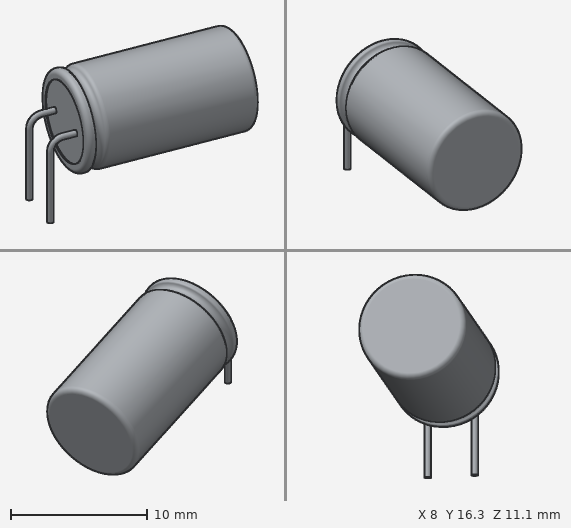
import cadquery as cq
import math

total_length = 16.25
can_diameter = 8.0
end_fillet = 0.4

groove_center = 1.1
groove_radius = 0.4
body_blend = 0.4
lip_blend = 0.16

seal_diameter = 6.4
seal_depth = 0.1

lead_diameter = 0.5
lead_spacing = 3.51
lead_reach = 2.25
lead_drop = 7.1
lead_bend = 1.0
lead_embed = 0.32

can_radius = can_diameter / 2
can_length = total_length - lead_reach
lead_axis_y = lead_diameter / 2 - lead_reach
DIAGONAL = math.sqrt(0.5)


def groove_blend(blend_radius, side):
    """Start, middle and end of the rounded groove edge; side is -1 for the lip and +1 for the body.

    The blend is tangent to the can surface at its start and to the groove bead at its end.
    """
    center_distance = groove_radius + blend_radius
    offset = math.sqrt(center_distance**2 - blend_radius**2)
    center_r = can_radius - blend_radius
    center_y = groove_center + side * offset
    end_angle = math.atan2(blend_radius, -side * offset)
    middle_angle = (end_angle + math.pi / 2) / 2

    def point(angle):
        return (center_r + blend_radius * math.sin(angle), center_y + blend_radius * math.cos(angle))

    return point(math.pi / 2), point(middle_angle), point(end_angle)


def make_can():
    """Can with rounded ends and crimp groove, revolved about the Y axis."""
    flat_radius = can_radius - end_fillet
    fillet_middle_r = flat_radius + end_fillet * DIAGONAL
    fillet_middle_inset = end_fillet * (1 - DIAGONAL)
    lip_start, lip_middle, lip_end = groove_blend(lip_blend, -1)
    body_start, body_middle, body_end = groove_blend(body_blend, 1)
    groove_bottom = (can_radius - groove_radius, groove_center)

    profile = (
        cq.Workplane("XY")
        .lineTo(flat_radius, 0)
        .threePointArc((fillet_middle_r, fillet_middle_inset), (can_radius, end_fillet))
        .lineTo(*lip_start)
        .threePointArc(lip_middle, lip_end)
        .threePointArc(groove_bottom, body_end)
        .threePointArc(body_middle, body_start)
        .lineTo(can_radius, can_length - end_fillet)
        .threePointArc((fillet_middle_r, can_length - fillet_middle_inset), (flat_radius, can_length))
        .lineTo(0, can_length)
        .close()
    )
    can = profile.revolve(360, (0, 0, 0), (0, 1, 0))
    seal_recess = cq.Workplane("XZ").circle(seal_diameter / 2).extrude(-seal_depth)
    return can.cut(seal_recess)


def make_lead(x):
    """Round wire leaving the seal toward -Y and bent down toward -Z."""
    bend_start_y = lead_axis_y + lead_bend
    bend_middle = (lead_axis_y + lead_bend * (1 - DIAGONAL), -lead_bend * (1 - DIAGONAL))
    path = (
        cq.Workplane("YZ", origin=(x, 0, 0))
        .moveTo(lead_embed, 0)
        .lineTo(bend_start_y, 0)
        .threePointArc(bend_middle, (lead_axis_y, -lead_bend))
        .lineTo(lead_axis_y, -lead_drop)
    )
    section = cq.Workplane("XZ", origin=(x, lead_embed, 0)).circle(lead_diameter / 2)
    return section.sweep(path)


result = make_can()
for lead_x in (-lead_spacing / 2, lead_spacing / 2):
    result = result.union(make_lead(lead_x))